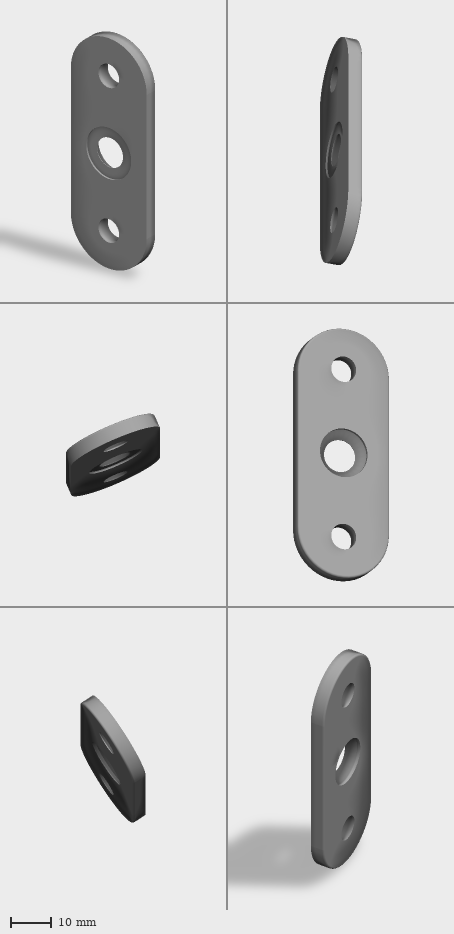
import cadquery as cq

length = 64.0
width = 24.0
thickness = 3.7
back_edge_radius = 0.5

mounting_hole_diameter = 6.5
mounting_hole_spacing = 43.0

recess_diameter = 14.2
recess_depth = 0.5
bore_diameter = 8.2
bore_depth = 0.1
pocket_diameter = 12.5
pocket_depth = 0.9

front_y = -thickness / 2
back_y = thickness / 2


def make_plate():
    """Rounded bar with the outer edge of its back face rounded over."""
    plate = (
        cq.Workplane("XZ", origin=(0, back_y, 0))
        .slot2D(length, width, angle=90)
        .extrude(thickness)
    )
    return plate.faces(">Y").edges().fillet(back_edge_radius)


def make_mounting_holes():
    """Cutters for the two through holes on the long centre line."""
    half_spacing = mounting_hole_spacing / 2
    return (
        cq.Workplane("XZ", origin=(0, back_y, 0))
        .pushPoints([(0, -half_spacing), (0, half_spacing)])
        .circle(mounting_hole_diameter / 2)
        .extrude(thickness)
    )


def make_central_hole():
    """Cutter for the central hole: its half section revolved about the Y axis."""
    recess_floor_y = front_y + recess_depth
    cone_start_y = recess_floor_y + bore_depth
    pocket_floor_y = back_y - pocket_depth
    half_section = (
        cq.Workplane("XY")
        .moveTo(0, front_y)
        .lineTo(recess_diameter / 2, front_y)
        .lineTo(recess_diameter / 2, recess_floor_y)
        .lineTo(bore_diameter / 2, recess_floor_y)
        .lineTo(bore_diameter / 2, cone_start_y)
        .lineTo(pocket_diameter / 2, pocket_floor_y)
        .lineTo(pocket_diameter / 2, back_y)
        .lineTo(0, back_y)
        .close()
    )
    return half_section.revolve(360, (0, 0, 0), (0, 1, 0))


result = make_plate().cut(make_mounting_holes()).cut(make_central_hole())